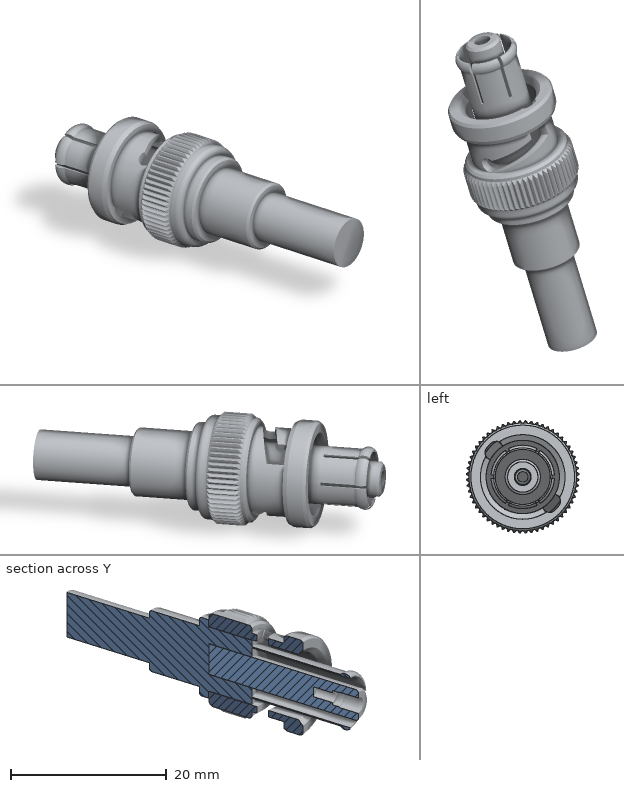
import cadquery as cq
import math

TOTAL_LENGTH = 45.3
LARGEST_DIAMETER = 14.45

NOSE_RADIUS = 2.25
NOSE_CHAMFER = 0.3
NOSE_BORE_RADIUS = 1.1
NOSE_BORE_DEPTH = 3.0
STEP_RADIUS = 1.0
STEP_DEPTH = 4.0
SOCKET_RADIUS = 0.7
SOCKET_DEPTH = 7.0

TUBE_START = 1.3
TUBE_RADIUS = 3.75
TUBE_INNER_RADIUS = 3.55
BEAD_CREST_X = 2.1
BEAD_CREST_RADIUS = 4.1
BEAD_ROUND = 1.05
TUBE_SLOT_COUNT = 6
TUBE_SLOT_WIDTH = 0.45
TUBE_SLOT_END = 7.35

NUT_START = 8.6
NUT_END = 23.25
NUT_BORE_RADIUS = 4.7
NUT_MOUTH_RADIUS = 5.45
SLEEVE_RADIUS = 5.7
FLANGE_END = 11.65
FLANGE_RADIUS = 6.95
FLANGE_CHAMFER = 0.25
FLANGE_FRONT_BEVEL = 0.4
FLANGE_REAR_BEVEL = 0.6
GRIP_START = 16.55
GRIP_RADIUS = 6.75
GRIP_CHAMFER = 0.3
GRIP_FILLET = 0.73

KNURL_START = 17.25
KNURL_END = 21.7
KNURL_RADIUS = LARGEST_DIAMETER / 2
KNURL_BEVEL = KNURL_RADIUS - GRIP_RADIUS
KNURL_COUNT = 60
KNURL_GROOVE_WIDTH = 0.7

BAYONET_COUNT = 2
BAYONET_OUTER_RADIUS = 5.95
BAYONET_INNER_RADIUS = 4.3
BAYONET_ENTRY_ANGLE = 28.0
BAYONET_ENTRY_SPAN = 29.0
BAYONET_CORNER_RADIUS = 0.9
BAYONET_LANE_END = 13.15
RAMP_SPAN = 91.0
RAMP_WIDTH = 1.75
RAMP_PITCH = 9.45
RAMP_START = 12.35
DETENT_ANGLE = 125.0
DETENT_X = 15.45
DETENT_DIAMETER = 2.1

SHOULDER_X = GRIP_START
INSULATOR_END = NUT_END
REAR_FLANGE_END = 24.75
REAR_SLEEVE_RADIUS = 4.45
REAR_SLEEVE_END = 32.5
REAR_CHAMFER = 0.25
TAIL_RADIUS = 3.25


def revolve_about_x(profile):
    """Revolve a closed profile drawn in the XZ plane about the X axis."""
    return profile.close().revolve(360, (0, 0, 0), (1, 0, 0))


def turn_about_x(shape, angle):
    return shape.rotate((0, 0, 0), (1, 0, 0), angle)


def turned_copies(shape, count):
    """Copies of a shape spread evenly around the X axis, as one cutter."""
    copies = [turn_about_x(shape, index * 360 / count).val() for index in range(count)]
    return cq.Workplane(cq.Compound.makeCompound(copies))



def make_insulator():
    """Nose with a stepped blind socket, running back into the seat in the plug body."""
    profile = (
        cq.Workplane("XZ")
        .moveTo(0, NOSE_BORE_RADIUS)
        .lineTo(0, NOSE_RADIUS - NOSE_CHAMFER)
        .lineTo(NOSE_CHAMFER, NOSE_RADIUS)
        .lineTo(INSULATOR_END, NOSE_RADIUS)
        .lineTo(INSULATOR_END, 0)
        .lineTo(SOCKET_DEPTH, 0)
        .lineTo(SOCKET_DEPTH, SOCKET_RADIUS)
        .lineTo(STEP_DEPTH, SOCKET_RADIUS)
        .lineTo(STEP_DEPTH, STEP_RADIUS)
        .lineTo(NOSE_BORE_DEPTH, STEP_RADIUS)
        .lineTo(NOSE_BORE_DEPTH, NOSE_BORE_RADIUS)
    )
    return revolve_about_x(profile)



def bead_point(x):
    """Point on the rounded bead of the tube at position x."""
    drop = BEAD_ROUND - math.sqrt(BEAD_ROUND**2 - (x - BEAD_CREST_X) ** 2)
    return (x, BEAD_CREST_RADIUS - drop)


def body_blank():
    """Turned outline of the tube, rear flange, rear sleeve and tail, with the insulator seat."""
    bead_center_radius = BEAD_CREST_RADIUS - BEAD_ROUND
    bead_end = BEAD_CREST_X + math.sqrt(BEAD_ROUND**2 - (TUBE_RADIUS - bead_center_radius) ** 2)
    profile = (
        cq.Workplane("XZ")
        .moveTo(INSULATOR_END, 0)
        .lineTo(INSULATOR_END, NOSE_RADIUS)
        .lineTo(SHOULDER_X, NOSE_RADIUS)
        .lineTo(SHOULDER_X, TUBE_INNER_RADIUS)
        .lineTo(TUBE_START, TUBE_INNER_RADIUS)
        .lineTo(*bead_point(TUBE_START))
        .threePointArc(
            bead_point((TUBE_START + BEAD_CREST_X) / 2),
            (BEAD_CREST_X, BEAD_CREST_RADIUS),
        )
        .threePointArc(bead_point((BEAD_CREST_X + bead_end) / 2), (bead_end, TUBE_RADIUS))
        .lineTo(SHOULDER_X, TUBE_RADIUS)
        .lineTo(SHOULDER_X, NUT_BORE_RADIUS)
        .lineTo(NUT_END, NUT_BORE_RADIUS)
        .lineTo(NUT_END, SLEEVE_RADIUS)
        .lineTo(REAR_FLANGE_END - REAR_CHAMFER, SLEEVE_RADIUS)
        .lineTo(REAR_FLANGE_END, SLEEVE_RADIUS - REAR_CHAMFER)
        .lineTo(REAR_FLANGE_END, REAR_SLEEVE_RADIUS)
        .lineTo(REAR_SLEEVE_END - REAR_CHAMFER, REAR_SLEEVE_RADIUS)
        .lineTo(REAR_SLEEVE_END, REAR_SLEEVE_RADIUS - REAR_CHAMFER)
        .lineTo(REAR_SLEEVE_END, TAIL_RADIUS)
        .lineTo(TOTAL_LENGTH, TAIL_RADIUS)
        .lineTo(TOTAL_LENGTH, 0)
    )
    return revolve_about_x(profile)


def tube_slots():
    """Radial saw cuts that split the front of the tube into spring fingers."""
    gap_middle_radius = (NOSE_RADIUS + TUBE_INNER_RADIUS) / 2
    slot = (
        cq.Workplane("XY", origin=(0, gap_middle_radius, 0))
        .box(TUBE_SLOT_END, TUBE_RADIUS, TUBE_SLOT_WIDTH, centered=(False, False, True))
    )
    return turned_copies(slot, TUBE_SLOT_COUNT)


def make_body():
    return body_blank().cut(tube_slots())



def nut_blank():
    """Turned nut with its front flange, sleeve and plain grip ring."""
    mouth_depth = NUT_MOUTH_RADIUS - NUT_BORE_RADIUS
    flange_edge_radius = FLANGE_RADIUS - FLANGE_CHAMFER
    fillet_middle = GRIP_FILLET * (1 - math.sqrt(0.5))
    profile = (
        cq.Workplane("XZ")
        .moveTo(NUT_START + mouth_depth, NUT_BORE_RADIUS)
        .lineTo(NUT_START, NUT_MOUTH_RADIUS)
        .lineTo(NUT_START, flange_edge_radius)
        .lineTo(NUT_START + FLANGE_FRONT_BEVEL, FLANGE_RADIUS)
        .lineTo(FLANGE_END - FLANGE_REAR_BEVEL, FLANGE_RADIUS)
        .lineTo(FLANGE_END, flange_edge_radius)
        .lineTo(FLANGE_END, SLEEVE_RADIUS)
        .lineTo(GRIP_START, SLEEVE_RADIUS)
        .lineTo(GRIP_START, GRIP_RADIUS - GRIP_CHAMFER)
        .lineTo(GRIP_START + GRIP_CHAMFER, GRIP_RADIUS)
        .lineTo(NUT_END - GRIP_FILLET, GRIP_RADIUS)
        .threePointArc(
            (NUT_END - fillet_middle, GRIP_RADIUS - fillet_middle),
            (NUT_END, GRIP_RADIUS - GRIP_FILLET),
        )
        .lineTo(NUT_END, NUT_BORE_RADIUS)
    )
    return revolve_about_x(profile)


def knurled_band():
    """Bevelled ring with V grooves along X; one groove lies on +Y."""
    profile = (
        cq.Workplane("XZ")
        .moveTo(KNURL_START, SLEEVE_RADIUS)
        .lineTo(KNURL_START, GRIP_RADIUS)
        .lineTo(KNURL_START + KNURL_BEVEL, KNURL_RADIUS)
        .lineTo(KNURL_END - KNURL_BEVEL, KNURL_RADIUS)
        .lineTo(KNURL_END, GRIP_RADIUS)
        .lineTo(KNURL_END, SLEEVE_RADIUS)
    )
    band = revolve_about_x(profile)
    groove = (
        cq.Workplane("YZ", origin=(KNURL_START, 0, 0))
        .moveTo(GRIP_RADIUS, 0)
        .lineTo(KNURL_RADIUS, KNURL_GROOVE_WIDTH / 2)
        .lineTo(KNURL_RADIUS + KNURL_BEVEL, KNURL_GROOVE_WIDTH / 2)
        .lineTo(KNURL_RADIUS + KNURL_BEVEL, -KNURL_GROOVE_WIDTH / 2)
        .lineTo(KNURL_RADIUS, -KNURL_GROOVE_WIDTH / 2)
        .close()
        .extrude(KNURL_END - KNURL_START)
    )
    return band.cut(turned_copies(groove, KNURL_COUNT))


def bayonet_sector(start, end):
    """Axial sector of the slot between two positions along X."""
    profile = (
        cq.Workplane("XY")
        .moveTo(start, BAYONET_INNER_RADIUS)
        .lineTo(start, BAYONET_OUTER_RADIUS)
        .lineTo(end, BAYONET_OUTER_RADIUS)
        .lineTo(end, BAYONET_INNER_RADIUS)
        .close()
    )
    sector = profile.revolve(BAYONET_ENTRY_SPAN, (0, 0, 0), (1, 0, 0))
    return turn_about_x(sector, BAYONET_ENTRY_ANGLE)


def bayonet_entry():
    """Slot mouth under the flange, with its two outer corners rounded."""
    mouth = bayonet_sector(NUT_START, FLANGE_END)
    middle_angle = math.radians(BAYONET_ENTRY_ANGLE + BAYONET_ENTRY_SPAN / 2)
    outward = cq.Vector(0, math.cos(middle_angle), math.sin(middle_angle))
    outer_corners = cq.selectors.CenterNthSelector(outward, -1)
    return mouth.edges("|X").edges(outer_corners).fillet(BAYONET_CORNER_RADIUS)


def bayonet_ramp():
    """Helical stretch of the slot, swept about Z and then laid along X."""
    helix = cq.Wire.makeHelix(RAMP_PITCH, RAMP_PITCH * RAMP_SPAN / 360, NUT_BORE_RADIUS)
    ramp = (
        cq.Workplane("XZ")
        .moveTo(BAYONET_INNER_RADIUS, 0)
        .lineTo(BAYONET_OUTER_RADIUS, 0)
        .lineTo(BAYONET_OUTER_RADIUS, RAMP_WIDTH)
        .lineTo(BAYONET_INNER_RADIUS, RAMP_WIDTH)
        .close()
        .sweep(cq.Workplane(helix), isFrenet=True)
    ).val()
    laid_along_x = ramp.moved(cq.Location(cq.Plane.YZ(origin=(RAMP_START, 0, 0))))
    return cq.Workplane(turn_about_x(laid_along_x, BAYONET_ENTRY_ANGLE))


def bayonet_detent():
    """Round hole at the locked end of the slot."""
    hole = (
        cq.Workplane("XZ", origin=(DETENT_X, BAYONET_OUTER_RADIUS, 0))
        .circle(DETENT_DIAMETER / 2)
        .extrude(BAYONET_OUTER_RADIUS - TUBE_RADIUS)
    )
    return turn_about_x(hole, DETENT_ANGLE)


def make_nut():
    nut = nut_blank().union(knurled_band())
    lane = bayonet_sector(FLANGE_END, BAYONET_LANE_END)
    for cutter in (bayonet_entry(), lane, bayonet_ramp(), bayonet_detent()):
        nut = nut.cut(turned_copies(cutter, BAYONET_COUNT))
    return nut


insulator = make_insulator().solids()
body = make_body().solids()
nut = make_nut().solids()

result = cq.Compound.makeCompound([insulator.val(), body.val(), nut.val()])